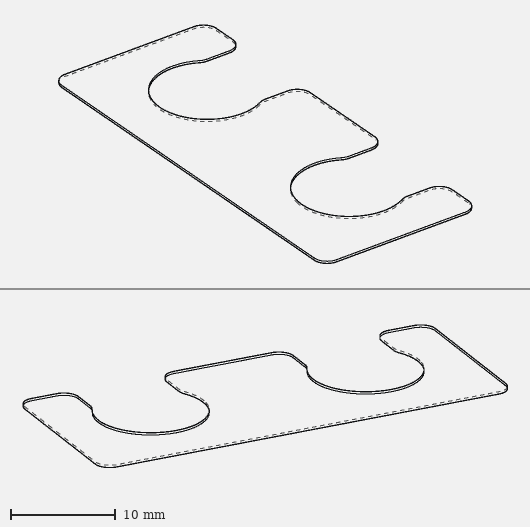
import cadquery as cq

length = 43.688
width = 18.288
thickness = 0.25
corner_radius = 1.524

hole_spacing = 22.86
hole_diameter = 11.176
hole_center_y = 1.524
throat_width = 9.398
throat_blend_radius = corner_radius

back_edge_y = width / 2


def make_plate():
    return cq.Workplane("XY").rect(length, width).extrude(thickness)


def make_keyhole(center_x):
    """Round hole joined to a straight throat that runs out through the back edge."""
    throat_length = back_edge_y - hole_center_y
    hole = (
        cq.Workplane("XY")
        .center(center_x, hole_center_y)
        .circle(hole_diameter / 2)
        .extrude(thickness)
    )
    throat = (
        cq.Workplane("XY")
        .center(center_x, hole_center_y + throat_length / 2)
        .rect(throat_width, throat_length)
        .extrude(thickness)
    )
    return hole.union(throat)


def throat_junctions(plate):
    """Vertical edges where the throat walls meet the round holes."""
    junction_y = hole_center_y + ((hole_diameter / 2) ** 2 - (throat_width / 2) ** 2) ** 0.5
    half_band = 0.1
    band = cq.selectors.BoxSelector(
        (-length, junction_y - half_band, -thickness),
        (length, junction_y + half_band, 2 * thickness),
    )
    return plate.edges("|Z").edges(band)


plate = make_plate()
for side in (-1, 1):
    plate = plate.cut(make_keyhole(side * hole_spacing / 2))

plate = plate.faces("<Y or >Y").edges("|Z").fillet(corner_radius)
result = throat_junctions(plate).fillet(throat_blend_radius)